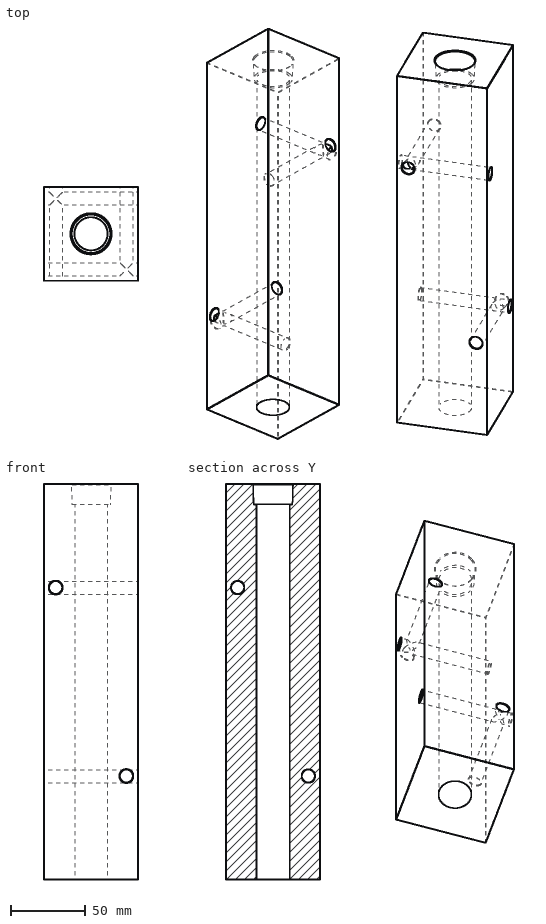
import cadquery as cq

WIDTH = 63.5
HEIGHT = 266.7
EDGE_CHAMFER = 0.254

BORE_DIAMETER = 22.225
PORT_DIAMETER = 26.67
PORT_DEPTH = 13.86
PORT_TAPER = 1 / 16
PORT_CHAMFER = 0.635

CROSS_HOLE_DIAMETER = 8.73
CROSS_HOLE_CHAMFER = 0.4
CROSS_HOLE_EDGE_DISTANCE = 7.9375
CROSS_HOLE_END_DISTANCE = 69.85


def make_block():
    """Square block with every outer edge chamfered."""
    block = cq.Workplane("XY").box(WIDTH, WIDTH, HEIGHT)
    return block.edges().chamfer(EDGE_CHAMFER)


def bore_tool():
    """Revolved cutter for the through bore, the tapered port and its rim chamfer."""
    top = HEIGHT / 2
    bore_radius = BORE_DIAMETER / 2
    port_radius = PORT_DIAMETER / 2
    port_floor_radius = port_radius - (PORT_DEPTH - PORT_CHAMFER) * PORT_TAPER / 2
    profile = (
        cq.Workplane("XZ")
        .moveTo(0, -top)
        .lineTo(bore_radius, -top)
        .lineTo(bore_radius, top - PORT_DEPTH)
        .lineTo(port_floor_radius, top - PORT_DEPTH)
        .lineTo(port_radius, top - PORT_CHAMFER)
        .lineTo(port_radius + PORT_CHAMFER, top)
        .lineTo(0, top)
        .close()
    )
    return profile.revolve(360, (0, 0, 0), (0, 1, 0))


def cross_hole_tool():
    """Cutter along Y, centred on the origin, widening to a chamfer at both faces."""
    half_length = WIDTH / 2
    radius = CROSS_HOLE_DIAMETER / 2
    profile = (
        cq.Workplane("XY")
        .moveTo(0, -half_length)
        .lineTo(radius + CROSS_HOLE_CHAMFER, -half_length)
        .lineTo(radius, -half_length + CROSS_HOLE_CHAMFER)
        .lineTo(radius, half_length - CROSS_HOLE_CHAMFER)
        .lineTo(radius + CROSS_HOLE_CHAMFER, half_length)
        .lineTo(0, half_length)
        .close()
    )
    return profile.revolve(360, (0, 0, 0), (0, 1, 0))


def cut_cross_holes(body):
    """Cut an upper and a lower pair of crossing holes, in diagonally opposite corners."""
    offset = WIDTH / 2 - CROSS_HOLE_EDGE_DISTANCE
    height = HEIGHT / 2 - CROSS_HOLE_END_DISTANCE
    hole_along_y = cross_hole_tool()
    hole_along_x = hole_along_y.rotate((0, 0, 0), (0, 0, 1), 90)
    for side in (1, -1):
        body = body.cut(hole_along_y.translate((-side * offset, 0, side * height)))
        body = body.cut(hole_along_x.translate((0, side * offset, side * height)))
    return body


result = cut_cross_holes(make_block().cut(bore_tool()))